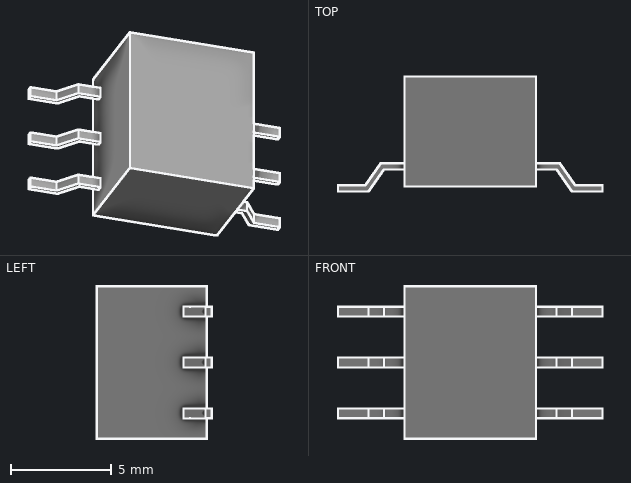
import cadquery as cq
import math

span = 13.21
overall_depth = 5.75

body_width = 6.58
body_height = 7.62
standoff = 0.25
body_depth = overall_depth - standoff

leads_per_side = 3
lead_pitch = 2.54
lead_width = 0.5
lead_thickness = 0.32
lead_rise = 1.41
foot_length = 1.53
slope_run = 0.77

slope_angle = math.atan2(lead_rise - lead_thickness, slope_run)
miter_shift = lead_thickness * math.tan(slope_angle / 2)


def make_body():
    """Rectangular block centred on X and Z, raised above the foot plane."""
    return cq.Workplane("XY").box(body_width, body_depth, body_height).translate(
        (0, standoff + body_depth / 2, 0)
    )


def make_lead(z_center):
    """Lead on the -X side, bent in the XY plane, with its foot on y = 0."""
    tip_x = -span / 2
    root_x = -body_width / 2
    heel_x = tip_x + foot_length
    shoulder_x = heel_x + slope_run
    outline = [
        (tip_x, 0),
        (heel_x, 0),
        (shoulder_x, lead_rise - lead_thickness),
        (root_x, lead_rise - lead_thickness),
        (root_x, lead_rise),
        (shoulder_x - miter_shift, lead_rise),
        (heel_x - miter_shift, lead_thickness),
        (tip_x, lead_thickness),
    ]
    return (
        cq.Workplane("XY")
        .workplane(offset=z_center - lead_width / 2)
        .polyline(outline)
        .close()
        .extrude(lead_width)
    )


result = make_body()
for index in range(leads_per_side):
    lead = make_lead((index - (leads_per_side - 1) / 2) * lead_pitch)
    result = result.union(lead).union(lead.mirror("YZ"))